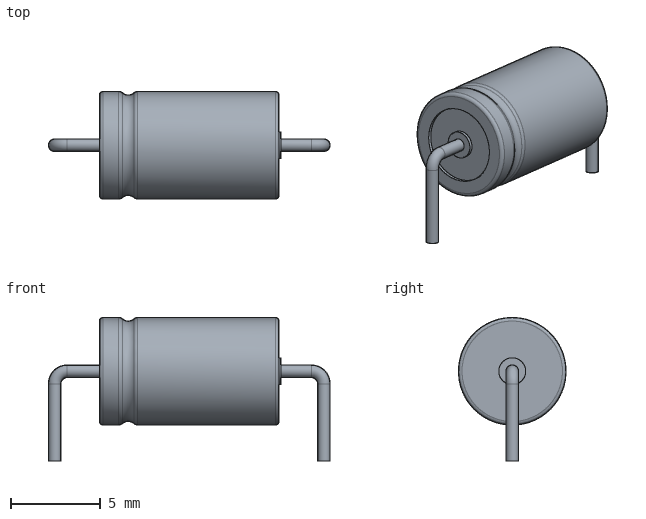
import cadquery as cq
import math


can_length = 10.0
can_diameter = 6.0
can_radius = can_diameter / 2
end_fillet = 0.2

groove_offset = 1.6
groove_depth = 0.2
groove_radius = 0.5
shoulder_radius = 0.3

recess_diameter = 4.2
recess_depth = 0.2
boss_diameter = 1.5
boss_height = 0.1

lead_diameter = 0.7
lead_spacing = 15.0
lead_drop = 5.0
bend_radius = lead_diameter

axis_z = can_radius
can_left = (lead_spacing - can_length) / 2
can_right = can_left + can_length


def make_can():
    """Revolve the half outline of the can, groove included, about its axis."""
    groove_x = can_left + groove_offset
    arc_centres = groove_radius + shoulder_radius
    sweep = math.acos(1 - groove_depth / arc_centres)
    groove_half_width = arc_centres * math.sin(sweep)
    hollow_half_width = groove_radius * math.sin(sweep)

    top_z = axis_z + can_radius
    bottom_z = top_z - groove_depth
    hollow_edge_z = top_z - shoulder_radius * (1 - math.cos(sweep))
    shoulder_mid_half_width = groove_half_width - shoulder_radius * math.sin(sweep / 2)
    shoulder_mid_z = top_z - shoulder_radius * (1 - math.cos(sweep / 2))

    outline = (
        cq.Workplane("XZ")
        .moveTo(can_left, axis_z)
        .lineTo(can_left, top_z - end_fillet)
        .tangentArcPoint((can_left + end_fillet, top_z), relative=False)
        .lineTo(groove_x - groove_half_width, top_z)
        .threePointArc(
            (groove_x - shoulder_mid_half_width, shoulder_mid_z),
            (groove_x - hollow_half_width, hollow_edge_z),
        )
        .threePointArc((groove_x, bottom_z), (groove_x + hollow_half_width, hollow_edge_z))
        .threePointArc(
            (groove_x + shoulder_mid_half_width, shoulder_mid_z),
            (groove_x + groove_half_width, top_z),
        )
        .lineTo(can_right - end_fillet, top_z)
        .tangentArcPoint((can_right, top_z - end_fillet), relative=False)
        .lineTo(can_right, axis_z)
        .close()
    )
    return outline.revolve(360, (can_left, axis_z), (can_right, axis_z))


def disc(x_start, diameter, thickness):
    """Disc on the can axis that grows toward +X from x_start."""
    return (
        cq.Workplane("YZ", origin=(x_start, 0, axis_z))
        .circle(diameter / 2)
        .extrude(thickness)
    )


def make_lead(foot_x, end_x):
    """Round wire from its tip below foot_x, bent over to end_x on the can axis."""
    tip_z = axis_z - lead_drop
    direction = math.copysign(1, end_x - foot_x)
    path = (
        cq.Workplane("XZ")
        .moveTo(foot_x, tip_z)
        .lineTo(foot_x, axis_z - bend_radius)
        .tangentArcPoint((foot_x + direction * bend_radius, axis_z), relative=False)
        .lineTo(end_x, axis_z)
    )
    section = cq.Workplane("XY", origin=(foot_x, 0, tip_z)).circle(lead_diameter / 2)
    return section.sweep(path)


can = make_can()
can = can.cut(disc(can_left, recess_diameter, recess_depth))
can = can.union(disc(can_left, boss_diameter, recess_depth))
can = can.union(disc(can_right, boss_diameter, boss_height))

left_lead = make_lead(0, can_left + lead_diameter)
right_lead = make_lead(lead_spacing, can_right - lead_diameter)

result = can.union(left_lead).union(right_lead)